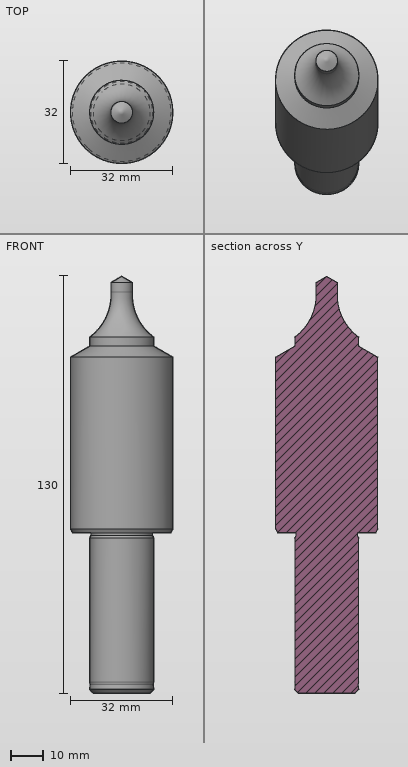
import cadquery as cq
import math

total_length = 130.0
shank_radius = 10.0
head_radius = 16.0
pin_radius = 3.4
flare_radius = 16.2
cone_half_angle = math.radians(60)

groove_bottom = 1.5
groove_floor = 2.7
groove_top = 3.5
neck_bottom = 48.5
neck_taper_top = 49.3
head_bottom = 50.0
shoulder_bottom = 104.8
collar_top = 111.0
flare_top = 125.0

shank_chamfer = 1.2
head_chamfer_width = 0.6
head_chamfer_height = 1.2
groove_depth = 0.1
neck_depth = 0.4

collar_bottom = shoulder_bottom + (head_radius - shank_radius) / math.tan(cone_half_angle)
tip_base = total_length - pin_radius / math.tan(cone_half_angle)

flare_width = shank_radius - pin_radius
flare_height = flare_top - collar_top
flare_chord = math.hypot(flare_width, flare_height)
flare_sagitta = flare_radius - math.sqrt(flare_radius**2 - (flare_chord / 2) ** 2)
flare_mid = (
    (pin_radius + shank_radius) / 2 - flare_sagitta * flare_height / flare_chord,
    (flare_top + collar_top) / 2 - flare_sagitta * flare_width / flare_chord,
)

profile = (
    cq.Workplane("XZ")
    .moveTo(0, 0)
    .lineTo(shank_radius - shank_chamfer, 0)
    .lineTo(shank_radius, shank_chamfer)
    .lineTo(shank_radius, groove_bottom)
    .lineTo(shank_radius - groove_depth, groove_floor)
    .lineTo(shank_radius, groove_top)
    .lineTo(shank_radius, neck_bottom)
    .lineTo(shank_radius - neck_depth, neck_taper_top)
    .lineTo(shank_radius - neck_depth, head_bottom)
    .lineTo(head_radius - head_chamfer_width, head_bottom)
    .lineTo(head_radius, head_bottom + head_chamfer_height)
    .lineTo(head_radius, shoulder_bottom)
    .lineTo(shank_radius, collar_bottom)
    .lineTo(shank_radius, collar_top)
    .threePointArc(flare_mid, (pin_radius, flare_top))
    .lineTo(pin_radius, tip_base)
    .lineTo(0, total_length)
    .close()
)

result = profile.revolve(360, (0, 0, 0), (0, 1, 0))